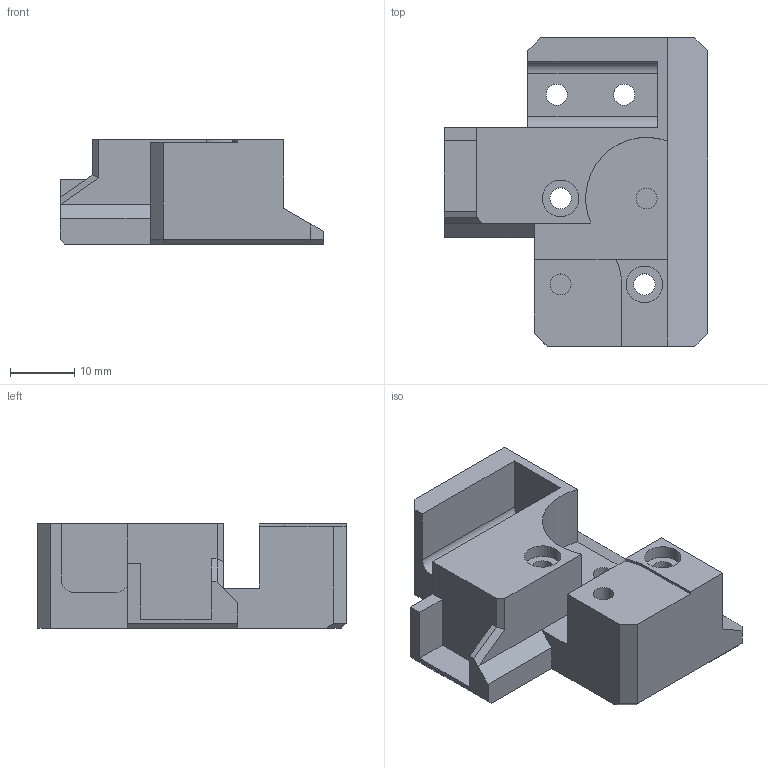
import cadquery as cq
import math

LENGTH_X = 41.0
LENGTH_Y = 48.0
HEIGHT = 16.25

BODY_FRONT_X = 14.0
BODY_REAR_X = 13.0
CORNER_CHAMFER = 2.0
BOTTOM_CHAMFER = 0.75
SHOULDER_X = 34.75
FOOT_SLOPE = math.radians(30)
FOOT_EDGE_HEIGHT = 2.0

ARM_FRONT_Y = 19.15
ARM_REAR_Y = 34.1
ARM_CORNER_CHAMFER = 0.95
BLOCK_X = 5.0
LEDGE_FRONT_Y = 16.9

TRAY_FLOOR = 1.4
TRAY_REAR_WALL = 2.1
TRAY_REAR_HEIGHT = 10.1
TRAY_FRONT_WALL = 1.85
TRAY_FRONT_LOW = 7.3
TRAY_FRONT_HIGH = 10.8
BEVEL_DROP = 1.15
END_CHAMFER = (0.65, 0.75)

SLOT_FRONT_Y = 13.5
SLOT_DEPTH = 10.0
SLOT_FLOOR = HEIGHT - SLOT_DEPTH
CLEARANCE_RADIUS = 9.5
FRONT_RECESS_DEPTH = 0.4

CHANNEL_END_X = 33.2
CHANNEL_FRONT_Y = 33.85
CHANNEL_REAR_Y = 44.35
CHANNEL_FLOOR = 5.6
CHANNEL_FILLET = 1.9

PIVOT_DIAMETER = 3.25
PIVOT_DEPTH = 5.0
REAR_PIVOT = (31.5, 23.0)
FRONT_PIVOT = (18.1, 9.6)
SCREW_DIAMETER = 3.3
SCREW_HEAD_DIAMETER = 5.7
SCREW_HEAD_DEPTH = 2.0
SCREW_POINTS = [(FRONT_PIVOT[0], REAR_PIVOT[1]), (31.15, FRONT_PIVOT[1])]
CHANNEL_HOLE_DIAMETER = 3.3
CHANNEL_HOLE_POINTS = [(17.5, 39.15), (28.0, 39.15)]


def box(x_range, y_range, z_range):
    """Axis-aligned box between the given limits."""
    size = [end - start for start, end in (x_range, y_range, z_range)]
    corner = (x_range[0], y_range[0], z_range[0])
    return cq.Workplane("XY").box(*size, centered=False).translate(corner)


def cylinder(point, diameter, bottom, top):
    """Vertical cylinder between two heights."""
    plane = cq.Workplane("XY").workplane(offset=bottom)
    return plane.center(*point).circle(diameter / 2).extrude(top - bottom)


def make_body():
    """Long body with chamfered corners and a sloped foot on the +X side."""
    c = CORNER_CHAMFER
    body = (
        cq.Workplane("XY")
        .moveTo(BODY_FRONT_X + c, 0)
        .lineTo(LENGTH_X - c, 0)
        .lineTo(LENGTH_X, c)
        .lineTo(LENGTH_X, LENGTH_Y - c)
        .lineTo(LENGTH_X - c, LENGTH_Y)
        .lineTo(BODY_REAR_X + c, LENGTH_Y)
        .lineTo(BODY_REAR_X, LENGTH_Y - c)
        .lineTo(BODY_REAR_X, ARM_FRONT_Y)
        .lineTo(BODY_FRONT_X, ARM_FRONT_Y)
        .lineTo(BODY_FRONT_X, c)
        .close()
        .extrude(HEIGHT)
    )
    front_edges = cq.selectors.BoxSelector((0, -c, -c), (LENGTH_X + c, c, c / 2))
    body = body.faces("<Z").edges(front_edges).chamfer(BOTTOM_CHAMFER)

    shoulder_height = FOOT_EDGE_HEIGHT + (LENGTH_X - SHOULDER_X) * math.tan(FOOT_SLOPE)
    space_above_foot = (
        cq.Workplane("XZ")
        .polyline([
            (SHOULDER_X, shoulder_height),
            (LENGTH_X, FOOT_EDGE_HEIGHT),
            (LENGTH_X, HEIGHT),
            (SHOULDER_X, HEIGHT),
        ])
        .close()
        .extrude(-LENGTH_Y)
    )
    return body.cut(space_above_foot)


def tray_wall_outline(y, top_drop):
    """Outline of the tray front wall at a given Y, its sloped top lowered by top_drop."""
    slope = (TRAY_FRONT_HIGH - TRAY_FRONT_LOW) / BLOCK_X
    end_x = BLOCK_X + ARM_CORNER_CHAMFER
    low = TRAY_FRONT_LOW - top_drop
    return cq.Wire.makePolygon(
        [
            cq.Vector(0, y, 0),
            cq.Vector(end_x, y, 0),
            cq.Vector(end_x, y, low + slope * end_x),
            cq.Vector(0, y, low),
        ],
        close=True,
    )


def make_arm():
    """Full-height block, tray with a sloped bevelled front wall, and the front ledge."""
    block = box((BLOCK_X, BODY_FRONT_X), (ARM_FRONT_Y, ARM_REAR_Y), (0, HEIGHT))
    block = block.edges("|Z and <X and <Y").chamfer(ARM_CORNER_CHAMFER)

    floor = box((0, BLOCK_X), (ARM_FRONT_Y, ARM_REAR_Y), (0, TRAY_FLOOR))
    rear_wall = box((0, BLOCK_X), (ARM_REAR_Y - TRAY_REAR_WALL, ARM_REAR_Y), (0, TRAY_REAR_HEIGHT))

    bevel_y = ARM_FRONT_Y + ARM_CORNER_CHAMFER
    inner_y = ARM_FRONT_Y + TRAY_FRONT_WALL
    bevelled_part = cq.Solid.makeLoft(
        [tray_wall_outline(ARM_FRONT_Y, BEVEL_DROP), tray_wall_outline(bevel_y, 0)], True
    )
    flat_part = cq.Solid.makeLoft(
        [tray_wall_outline(bevel_y, 0), tray_wall_outline(inner_y, 0)], True
    )

    ledge_run = ARM_FRONT_Y - LEDGE_FRONT_Y
    ledge = (
        cq.Workplane("YZ")
        .polyline([
            (LEDGE_FRONT_Y, 0),
            (ARM_FRONT_Y, 0),
            (ARM_FRONT_Y, SLOT_FLOOR),
            (LEDGE_FRONT_Y, SLOT_FLOOR - ledge_run),
        ])
        .close()
        .extrude(BODY_FRONT_X)
    )
    arm = block.union(floor).union(rear_wall).union(ledge)
    arm = arm.union(cq.Workplane(bevelled_part)).union(cq.Workplane(flat_part))

    end_chamfer = (
        cq.Workplane("XZ")
        .polyline([(0, 0), (END_CHAMFER[0], 0), (0, END_CHAMFER[1])])
        .close()
        .extrude(-LENGTH_Y)
    )
    return arm.cut(end_chamfer)


def make_slot():
    """Cross slot joined with the round clearance around the rear pivot."""
    slot = box((BODY_REAR_X, SHOULDER_X), (SLOT_FRONT_Y, ARM_FRONT_Y), (SLOT_FLOOR, HEIGHT))
    clearance = cylinder(REAR_PIVOT, 2 * CLEARANCE_RADIUS, SLOT_FLOOR, HEIGHT)
    behind_slot_front = box((0, LENGTH_X), (SLOT_FRONT_Y, LENGTH_Y), (SLOT_FLOOR, HEIGHT))
    return slot.union(clearance.intersect(behind_slot_front))


def make_front_recess():
    """Shallow recess around the front pivot, open to the front and the -X side."""
    floor = HEIGHT - FRONT_RECESS_DEPTH
    pivot_x, pivot_y = FRONT_PIVOT
    round_part = cylinder(FRONT_PIVOT, 2 * CLEARANCE_RADIUS, floor, HEIGHT)
    front_part = box((BODY_FRONT_X, pivot_x + CLEARANCE_RADIUS), (0, pivot_y), (floor, HEIGHT))
    side_part = box((BODY_FRONT_X, pivot_x), (0, SLOT_FRONT_Y), (floor, HEIGHT))
    front_block = box((BODY_FRONT_X, LENGTH_X), (0, SLOT_FRONT_Y), (floor, HEIGHT))
    return round_part.union(front_part).union(side_part).intersect(front_block)


def make_channel():
    """Rear channel with rounded lower edges, open at the top and the -X side."""
    y_range = (CHANNEL_FRONT_Y, CHANNEL_REAR_Y)
    channel = box((BODY_REAR_X, CHANNEL_END_X), y_range, (CHANNEL_FLOOR, HEIGHT))
    channel = channel.faces("<Z").edges("|X").fillet(CHANNEL_FILLET)
    behind_arm = box((0, LENGTH_X), (ARM_REAR_Y, LENGTH_Y), (0, HEIGHT))
    return channel.intersect(behind_arm)


def cut_holes(part):
    """Counterbored screw holes, plain channel holes and blind pivot holes."""
    for point in SCREW_POINTS:
        part = part.cut(cylinder(point, SCREW_DIAMETER, 0, HEIGHT))
        part = part.cut(cylinder(point, SCREW_HEAD_DIAMETER, HEIGHT - SCREW_HEAD_DEPTH, HEIGHT))
    for point in CHANNEL_HOLE_POINTS:
        part = part.cut(cylinder(point, CHANNEL_HOLE_DIAMETER, 0, HEIGHT))
    pivot_tops = [
        (REAR_PIVOT, SLOT_FLOOR),
        (FRONT_PIVOT, HEIGHT - FRONT_RECESS_DEPTH),
    ]
    for point, top in pivot_tops:
        part = part.cut(cylinder(point, PIVOT_DIAMETER, top - PIVOT_DEPTH, top))
    return part


part = make_body().union(make_arm())
part = part.cut(make_slot()).cut(make_front_recess()).cut(make_channel())
result = cut_holes(part)